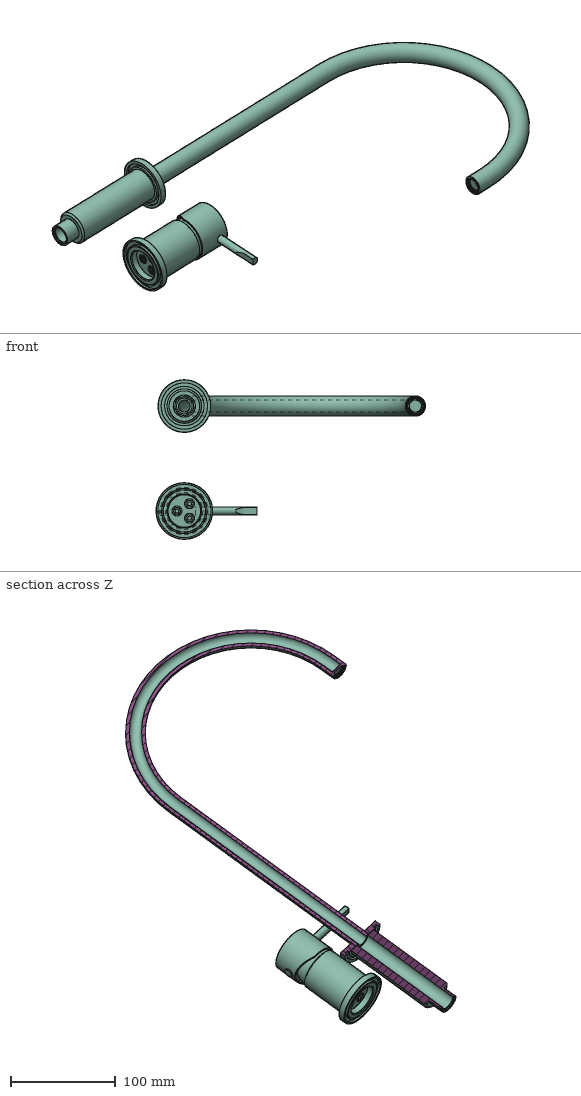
import cadquery as cq
import math


valve_z = -100.0
flange_thickness = 6.0

pipe_radius = 9.6
pipe_bore_radius = 5.5
bend_start_y = 240.0
spout_reach = 220.0
outlet_drop = 16.0
outlet_chamfer = 1.0
outlet_steps = [(8.0, 1.0), (7.0, 2.0), (5.85, 3.0)]
outlet_wall = 2.5

spout_flange_radius = 25.1
spout_groove_inner_radius = 19.0
spout_groove_outer_radius = 22.0
groove_depth = 2.5

shank_radius = 16.5
shank_length = 95.0
shank_chamfer = 2.0
nipple_radius = 10.55
nipple_length = 15.0
nipple_mouth_radius = 9.0
nipple_mouth_depth = 1.5
shank_bore_radius = 7.5

valve_flange_radius = 27.0
valve_groove_inner_radius = 21.5
valve_groove_outer_radius = 25.5

body_radius = 21.35
body_top_y = 55.0
spigot_radius = 20.0
dome_radius = 19.95
inlet_recess_radius = 15.5
inlet_recess_depth = 7.0
inlet_recess_chamfer = 1.0
inlet_count = 3
inlet_circle_radius = 8.0
inlet_circle_offset_x = 1.0
inlet_steps = [(4.5, 1.5), (3.5, 3.0), (2.0, 14.0)]

handle_radius = 22.5
handle_bottom_y = 57.5
handle_top_y = 90.5
handle_mouth_radius = 21.0
handle_mouth_depth = 9.5
handle_slope_start_x = -3.8
handle_slope_rise = 9.0

lever_radius = 4.0
lever_y = 81.0
lever_tip_x = 69.5
lever_seat_depth = 11.5
lever_slope_start_x = 48.5
lever_flat_start_x = 57.0
lever_flat_depth = 2.0

plug_radius = 4.45
plug_y = 73.5
plug_seat_depth = 4.5
plug_protrusion = 2.0
plug_crown = 1.0


def rod_along_y(radius, start_y, end_y, x=0, z=0):
    """Cylinder parallel to Y between two Y positions."""
    rod = cq.Solid.makeCylinder(radius, end_y - start_y, cq.Vector(x, start_y, z), cq.Vector(0, 1, 0))
    return cq.Workplane(obj=rod)


def rod_along_x(radius, start_x, end_x, y):
    """Cylinder parallel to X at the height of the valve axis."""
    rod = cq.Solid.makeCylinder(radius, end_x - start_x, cq.Vector(start_x, y, valve_z), cq.Vector(1, 0, 0))
    return cq.Workplane(obj=rod)


def ring_along_y(outer_radius, inner_radius, start_y, end_y, z=0):
    """Tube parallel to Y between two Y positions."""
    outer = rod_along_y(outer_radius, start_y, end_y, z=z)
    return outer.cut(rod_along_y(inner_radius, start_y, end_y, z=z))


def stepped_hole(steps, face_y, x=0, z=0):
    """Round cutter entering towards +Y; every step is narrower and deeper than the one before."""
    cutter = cq.Workplane("XY")
    for radius, depth in steps:
        cutter = cutter.union(rod_along_y(radius, face_y, face_y + depth, x, z))
    return cutter


def swept_spout(radius, outlet_end_y):
    """Round bar following the spout axis down to the given outlet end."""
    path = (
        cq.Workplane("XY")
        .lineTo(0, bend_start_y)
        .threePointArc((spout_reach / 2, bend_start_y + spout_reach / 2), (spout_reach, bend_start_y))
        .lineTo(spout_reach, outlet_end_y)
    )
    return cq.Workplane("XZ").circle(radius).sweep(path)


def make_pipe():
    outlet_y = bend_start_y - outlet_drop
    floor_y = outlet_y + outlet_steps[-1][1]
    outlet_face = cq.selectors.NearestToPointSelector((spout_reach, outlet_y, 0))
    pipe = swept_spout(pipe_radius, outlet_y).faces(outlet_face).edges().chamfer(outlet_chamfer)
    pipe = pipe.cut(swept_spout(pipe_bore_radius, floor_y + outlet_wall))
    return pipe.cut(stepped_hole(outlet_steps, outlet_y, x=spout_reach))


def make_flange(radius, hole_radius, groove_inner_radius, groove_outer_radius, z):
    flange = ring_along_y(radius, hole_radius, 0, flange_thickness, z)
    return flange.cut(ring_along_y(groove_outer_radius, groove_inner_radius, 0, groove_depth, z))


def make_shank():
    nipple_end_y = -shank_length - nipple_length
    shank = rod_along_y(shank_radius, -shank_length, 0).faces("<Y").edges().chamfer(shank_chamfer)
    shank = shank.union(rod_along_y(nipple_radius, nipple_end_y, -shank_length))
    shank = shank.cut(rod_along_y(shank_bore_radius, nipple_end_y, 0))
    return shank.cut(rod_along_y(nipple_mouth_radius, nipple_end_y, nipple_end_y + nipple_mouth_depth))


def make_dome():
    """Ball centred on the handle rim, cut off where it meets the barrel."""
    ball = cq.Workplane("XY").sphere(dome_radius).rotate((0, 0, 0), (1, 0, 0), -90)
    ball = ball.translate((0, handle_bottom_y, valve_z))
    return ball.cut(rod_along_y(handle_radius, handle_bottom_y - dome_radius, body_top_y, z=valve_z))


def make_valve_body():
    body = rod_along_y(body_radius, flange_thickness, body_top_y, z=valve_z)
    body = body.union(rod_along_y(spigot_radius, 0, flange_thickness, z=valve_z)).union(make_dome())
    body = body.cut(rod_along_y(inlet_recess_radius, 0, inlet_recess_depth, z=valve_z))
    recess_mouth = cq.selectors.RadiusNthSelector(0)
    body = body.faces("<Y").edges(recess_mouth).chamfer(inlet_recess_chamfer)
    for index in range(inlet_count):
        angle = math.pi + index * 2 * math.pi / inlet_count
        x = inlet_circle_offset_x + inlet_circle_radius * math.cos(angle)
        z = valve_z + inlet_circle_radius * math.sin(angle)
        body = body.cut(stepped_hole(inlet_steps, inlet_recess_depth, x, z))
    return body


def make_lever():
    seat_x = handle_radius - lever_seat_depth
    lower_y = lever_y - lever_radius
    flat_y = lower_y + lever_flat_depth
    relief = (
        cq.Workplane("XY", origin=(0, 0, valve_z))
        .polyline([
            (lever_slope_start_x, lower_y),
            (lever_flat_start_x, flat_y),
            (lever_tip_x, flat_y),
            (lever_tip_x, lower_y),
        ])
        .close()
        .extrude(lever_radius, both=True)
    )
    return rod_along_x(lever_radius, seat_x, lever_tip_x, lever_y).cut(relief)


def make_plug():
    inner_x = -handle_radius + plug_seat_depth
    outer_x = -handle_radius - plug_protrusion
    edge_x = outer_x + plug_crown
    crown_radius = (plug_radius ** 2 + plug_crown ** 2) / (2 * plug_crown)
    crown_center = cq.Vector(outer_x + crown_radius, plug_y, valve_z)
    crown_ball = cq.Workplane("XY").sphere(crown_radius).translate(crown_center)
    crown = rod_along_x(plug_radius, outer_x, edge_x, plug_y).intersect(crown_ball)
    return rod_along_x(plug_radius, edge_x, inner_x, plug_y).union(crown)


def make_handle():
    handle = rod_along_y(handle_radius, handle_bottom_y, handle_top_y, z=valve_z)
    rim_slope = (
        cq.Workplane("XY", origin=(0, 0, valve_z))
        .polyline([
            (handle_slope_start_x, handle_bottom_y),
            (-handle_radius, handle_bottom_y + handle_slope_rise),
            (-handle_radius, handle_bottom_y),
        ])
        .close()
        .extrude(handle_radius, both=True)
    )
    lever_seat = rod_along_x(lever_radius, handle_radius - lever_seat_depth, handle_radius, lever_y)
    plug_seat = rod_along_x(plug_radius, -handle_radius, -handle_radius + plug_seat_depth, plug_y)
    mouth_top_y = handle_bottom_y + handle_mouth_depth
    mouth = rod_along_y(handle_mouth_radius, handle_bottom_y, mouth_top_y, z=valve_z)
    return handle.cut(rim_slope).cut(mouth).cut(make_dome()).cut(lever_seat).cut(plug_seat)


pipe = make_pipe()
spout_flange = make_flange(
    spout_flange_radius, pipe_radius, spout_groove_inner_radius, spout_groove_outer_radius, 0
)
shank = make_shank()
valve_flange = make_flange(
    valve_flange_radius, spigot_radius, valve_groove_inner_radius, valve_groove_outer_radius, valve_z
)
valve_body = make_valve_body()
handle = make_handle()
lever = make_lever()
plug = make_plug()

result = cq.Compound.makeCompound([
    pipe.solids().val(),
    spout_flange.solids().val(),
    shank.solids().val(),
    valve_flange.solids().val(),
    valve_body.solids().val(),
    handle.solids().val(),
    lever.solids().val(),
    plug.solids().val(),
])